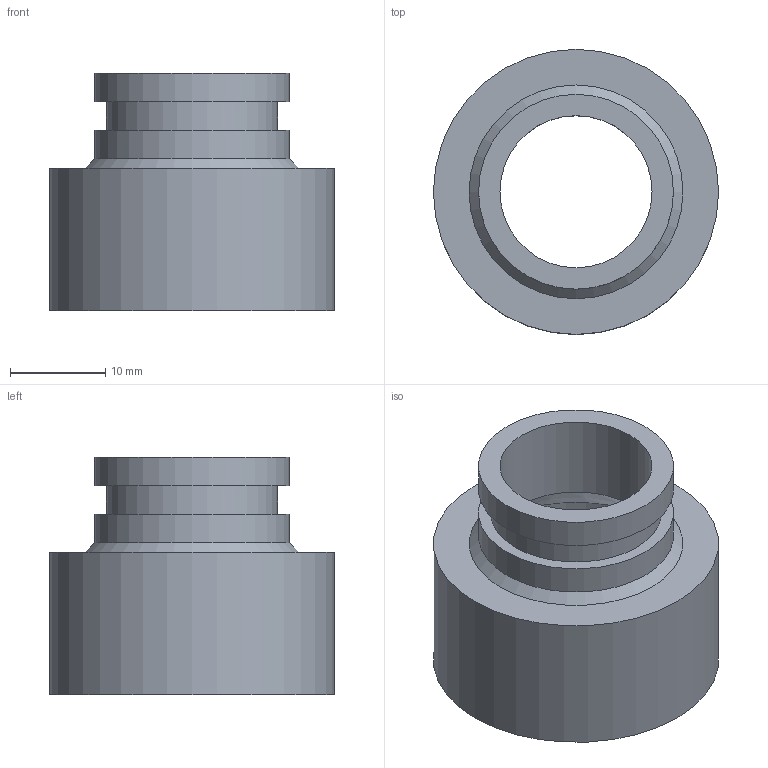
import cadquery as cq

body_diameter = 30.0
body_height = 15.0

neck_diameter = 20.5
collar_height = 3.0
groove_diameter = 18.0
groove_height = 3.0
neck_base_chamfer = 1.0

neck_bore_diameter = 16.0
socket_diameter = 25.0

lower_collar_bottom = body_height + neck_base_chamfer
groove_bottom = lower_collar_bottom + collar_height
groove_top = groove_bottom + groove_height
total_height = groove_top + collar_height

cone_top = lower_collar_bottom
cone_height = (socket_diameter - neck_bore_diameter) / 2
socket_depth = cone_top - cone_height


def cylinder(diameter, bottom, height):
    """Upright cylinder on the part axis."""
    return cq.Workplane("XY").workplane(offset=bottom).circle(diameter / 2).extrude(height)


def cone(bottom_diameter, top_diameter, bottom, height):
    """Upright truncated cone on the part axis."""
    solid = cq.Solid.makeCone(bottom_diameter / 2, top_diameter / 2, height, pnt=cq.Vector(0, 0, bottom))
    return cq.Workplane(obj=solid)


def outer_shape():
    """Body, flared neck base and two collars with a groove between them."""
    flare_diameter = neck_diameter + 2 * neck_base_chamfer
    body = cylinder(body_diameter, 0, body_height)
    flare = cone(flare_diameter, neck_diameter, body_height, neck_base_chamfer)
    lower_collar = cylinder(neck_diameter, lower_collar_bottom, collar_height)
    groove_core = cylinder(groove_diameter, groove_bottom, groove_height)
    upper_collar = cylinder(neck_diameter, groove_top, collar_height)
    return body.union(flare).union(lower_collar).union(groove_core).union(upper_collar)


def bore():
    """Wide socket from below, narrowing through a cone to the neck bore."""
    socket = cylinder(socket_diameter, 0, socket_depth)
    transition = cone(socket_diameter, neck_bore_diameter, socket_depth, cone_height)
    neck_bore = cylinder(neck_bore_diameter, cone_top, total_height - cone_top)
    return socket.union(transition).union(neck_bore)


result = outer_shape().cut(bore())